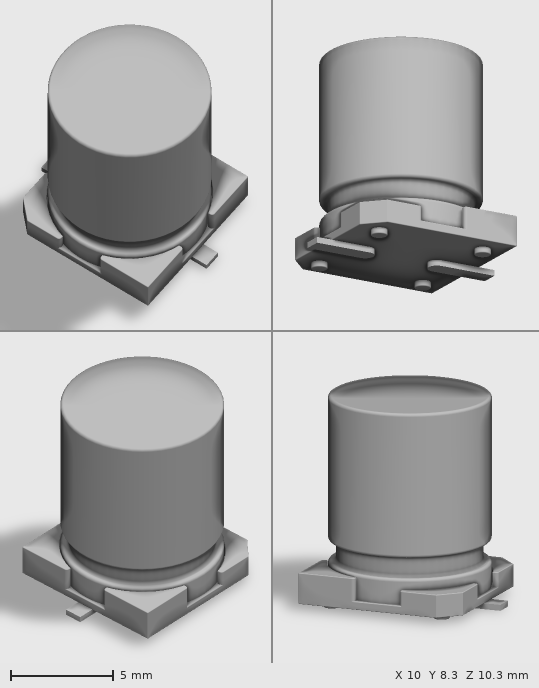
import cadquery as cq
import math

total_height = 10.3
lead_span = 10.0
base_side = 8.3

can_radius = 8.0 / 2
neck_radius = 7.2 / 2
can_round = 0.15
can_bottom_z = 0.61
lower_shoulder_z = 2.0
upper_shoulder_z = 3.04

base_bottom_z = 0.3
notch_floor_z = 0.71
low_corner_z = 1.46
high_corner_z = 1.86
corner_chamfer = 1.0
socket_clearance = 0.05
notch_width = 2.4
notch_round = 0.15
base_edge_round = 0.04

foot_diameter = 0.8
foot_offset = 2.91
foot_round = 0.05
lead_width = 0.94
lead_inner_x = 1.56

tolerance = 0.001


def make_can():
    """Revolved can: plain bottom band, narrow neck and tall body, all with rounded edges."""
    r = can_round
    bend = r * math.sqrt(0.5)
    outer_start = can_radius - r
    neck_end = neck_radius + r
    low_z = lower_shoulder_z
    up_z = upper_shoulder_z
    top_round_z = total_height - r
    profile = (
        cq.Workplane("XZ")
        .moveTo(0, can_bottom_z)
        .lineTo(can_radius, can_bottom_z)
        .lineTo(can_radius, low_z - r)
        .threePointArc((outer_start + bend, low_z - r + bend), (outer_start, low_z))
        .lineTo(neck_end, low_z)
        .threePointArc((neck_end - bend, low_z + r - bend), (neck_radius, low_z + r))
        .lineTo(neck_radius, up_z - r)
        .threePointArc((neck_end - bend, up_z - r + bend), (neck_end, up_z))
        .lineTo(outer_start, up_z)
        .threePointArc((outer_start + bend, up_z + r - bend), (can_radius, up_z + r))
        .lineTo(can_radius, top_round_z)
        .threePointArc((outer_start + bend, top_round_z + bend), (outer_start, total_height))
        .lineTo(0, total_height)
        .close()
    )
    return profile.revolve(360, (0, 0, 0), (0, 1, 0))


def slab(length, width, bottom_z, top_z):
    """Block centred on the Z axis between two heights."""
    return cq.Workplane("XY").workplane(offset=bottom_z).rect(length, width).extrude(top_z - bottom_z)


def on_outer_side(edge):
    """True for an edge whose middle lies on one of the four outer sides of the base."""
    center = edge.Center()
    return max(abs(center.x), abs(center.y)) > base_side / 2 - tolerance


def at_notch_wall(edge):
    """True for an edge whose middle lies on a wall of a side notch."""
    center = edge.Center()
    return abs(min(abs(center.x), abs(center.y)) - notch_width / 2) < tolerance


def make_base():
    """Square base: thin plate with four corner blocks around the can, lower on the -X side."""
    base = slab(base_side, base_side, base_bottom_z, high_corner_z)
    base = base.edges("|Z and <X").chamfer(corner_chamfer)
    base = base.cut(
        slab(base_side, base_side, low_corner_z, total_height).translate((-base_side / 2, 0, 0))
    )

    socket = cq.Workplane("XY").workplane(offset=notch_floor_z).circle(can_radius + socket_clearance)
    base = base.cut(socket.extrude(total_height))
    base = base.cut(slab(notch_width, base_side, notch_floor_z, total_height))
    base = base.cut(slab(base_side, notch_width, notch_floor_z, total_height))

    base = base.edges("|Z").filter(lambda e: on_outer_side(e) and at_notch_wall(e)).fillet(notch_round)
    corner_reach = base_side / 2 - corner_chamfer - tolerance
    base = (
        base.edges("|Z")
        .filter(lambda e: min(abs(e.Center().x), abs(e.Center().y)) > corner_reach)
        .fillet(base_edge_round)
    )

    for top_z in (high_corner_z, low_corner_z):
        base = (
            base.faces("+Z")
            .filter(lambda f: abs(f.Center().z - top_z) < tolerance)
            .edges()
            .fillet(base_edge_round)
        )
    base = (
        base.edges("#Z and %LINE")
        .filter(lambda e: on_outer_side(e) and abs(e.Center().z - notch_floor_z) < tolerance)
        .fillet(base_edge_round)
    )
    return base.faces("<Z").edges().fillet(base_edge_round)


def make_feet():
    """Four standoff feet under the corner blocks, rounded at the bottom."""
    return (
        cq.Workplane("XY")
        .rect(2 * foot_offset, 2 * foot_offset, forConstruction=True)
        .vertices()
        .circle(foot_diameter / 2)
        .extrude(base_bottom_z)
        .faces("<Z")
        .edges()
        .fillet(foot_round)
    )


def make_lead(side):
    """Flat lead with a half-round inner end; side is +1 or -1 along X."""
    half_width = lead_width / 2
    round_x = side * (lead_inner_x + half_width)
    tip_x = side * lead_span / 2
    return (
        cq.Workplane("XY")
        .moveTo(tip_x, -half_width)
        .lineTo(round_x, -half_width)
        .threePointArc((side * lead_inner_x, 0), (round_x, half_width))
        .lineTo(tip_x, half_width)
        .close()
        .extrude(base_bottom_z)
    )


result = make_base().union(make_can()).union(make_feet())
for side in (-1, 1):
    result = result.union(make_lead(side))